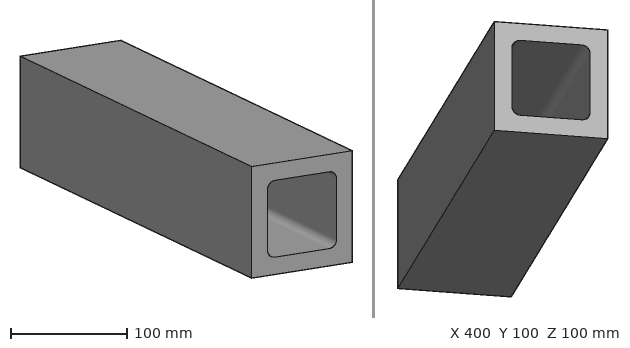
import cadquery as cq

length = 400.0
outer_side = 100.0
wall = 15.5
bore_corner_radius = 7.5

bore_side = outer_side - 2 * wall

tube = cq.Workplane("XY").box(length, outer_side, outer_side)

bore = (
    cq.Workplane("XY")
    .box(length, bore_side, bore_side)
    .edges("|X")
    .fillet(bore_corner_radius)
)

result = tube.cut(bore)